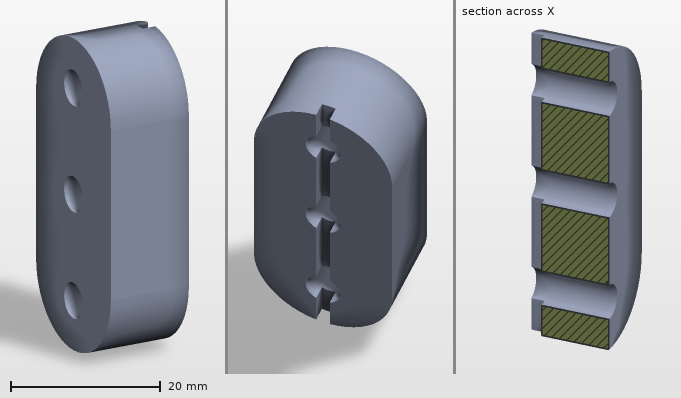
import cadquery as cq

height = 44.0
width = 20.0
thickness = 12.0
hole_diameter = 5.0
hole_spacing = 15.0
groove_width = 2.0
groove_depth = 2.0

back_y = thickness / 2


def plate():
    """Upright plate with full-round top and bottom ends."""
    return (
        cq.Workplane("XZ")
        .slot2D(height, width, angle=90)
        .extrude(thickness / 2, both=True)
    )


def through_holes():
    """Three equally spaced holes along the vertical centre line."""
    return (
        cq.Workplane("XZ")
        .rarray(0.45, hole_spacing, 1, 3)
        .circle(hole_diameter / 2)
        .extrude(thickness, both=True)
    )


def back_groove():
    """Square groove running the full height of the +Y face."""
    return (
        cq.Workplane("XY")
        .box(groove_width, 2 * groove_depth, height)
        .translate((0, back_y, 0))
    )


result = plate().cut(through_holes()).cut(back_groove())